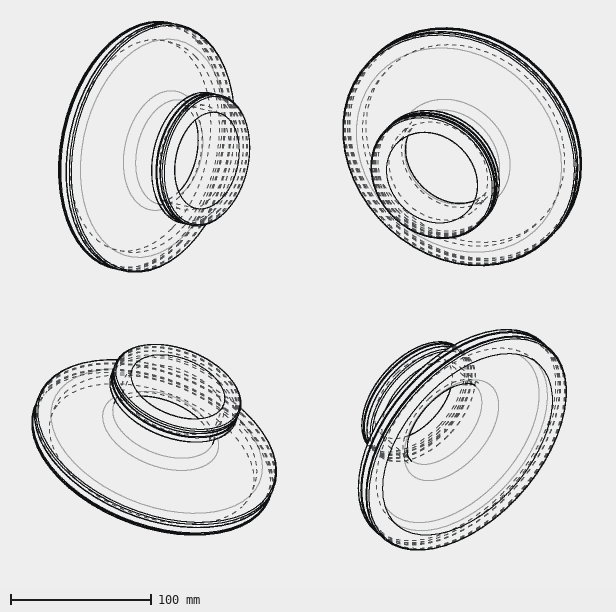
import cadquery as cq
import math

length = 63.0
flange_thickness = 12.0
large_radius = 180.0 / 2
small_radius = 95.0 / 2
rim_chamfer = 1.0

bore_radius = 70.0 / 2
tube_radius = 76.0 / 2
wall = tube_radius - bore_radius
cone_angle = math.radians(15)
cone_base_radius = 158.0 / 2
mouth_radius = 153.0 / 2
mouth_fillet = 5.0
throat_outer_fillet = 7.2
throat_inner_fillet = throat_outer_fillet + wall

groove_break = 0.5
groove_setback = 5.0
large_groove_x = groove_setback
large_groove_depth = 2.5
large_groove_radius = 2.5
small_groove_x = length - groove_setback
small_groove_depth = 1.8
small_groove_radius = 1.5


def revolve(profile):
    """Turn a profile drawn as (x, radius) about the X axis."""
    return profile.revolve(360, (0, 0, 0), (1, 0, 0))


def flange(start_x, radius):
    """Disc with both rim edges chamfered."""
    disc = cq.Workplane("YZ", origin=(start_x, 0, 0)).circle(radius).extrude(flange_thickness)
    return disc.edges().chamfer(rim_chamfer)


def groove(center_x, rim_radius, depth, radius):
    """Round-bottomed ring groove with bevelled lips."""
    bottom = rim_radius - depth
    lip = rim_radius - groove_break
    rise = min(lip - bottom, radius)
    half_width = math.sqrt(radius**2 - (radius - rise) ** 2)
    mouth = half_width + groove_break
    profile = (
        cq.Workplane("XY")
        .moveTo(center_x - mouth, rim_radius)
        .lineTo(center_x - half_width, lip)
        .threePointArc((center_x, bottom), (center_x + half_width, lip))
        .lineTo(center_x + mouth, rim_radius)
        .close()
    )
    return revolve(profile)


def cone_x(radius, base_x):
    """Axial position on a cone that has the base radius at base_x."""
    return base_x + (cone_base_radius - radius) * math.tan(cone_angle)


def ring_at(x):
    """Selector for the circular edges lying near the given x."""
    reach = large_radius
    half_band = wall / 2
    return cq.selectors.BoxSelector(
        (x - half_band, -reach, -reach), (x + half_band, reach, reach), boundingbox=True
    )


def neck():
    """Outer cone blending into the tube."""
    throat_x = cone_x(tube_radius, flange_thickness)
    start_x = flange_thickness / 2
    profile = cq.Workplane("XY").polyline([
        (start_x, 0),
        (start_x, cone_base_radius),
        (flange_thickness, cone_base_radius),
        (throat_x, tube_radius),
        (length, tube_radius),
        (length, 0),
    ]).close()
    return revolve(profile).edges(ring_at(throat_x)).fillet(throat_outer_fillet)


def cavity():
    """Mouth, inner cone parallel to the outer one, and the through bore."""
    inner_base_x = flange_thickness - wall / math.cos(cone_angle)
    mouth_x = cone_x(mouth_radius, inner_base_x)
    throat_x = cone_x(bore_radius, inner_base_x)
    profile = cq.Workplane("XY").polyline([
        (0, 0),
        (0, mouth_radius),
        (mouth_x, mouth_radius),
        (throat_x, bore_radius),
        (length, bore_radius),
        (length, 0),
    ]).close()
    body = revolve(profile)
    body = body.edges(ring_at(mouth_x)).fillet(mouth_fillet)
    return body.edges(ring_at(throat_x)).fillet(throat_inner_fillet)


small_flange_x = length - flange_thickness
result = flange(0, large_radius).union(neck()).union(flange(small_flange_x, small_radius))
result = result.cut(cavity())
result = result.cut(groove(large_groove_x, large_radius, large_groove_depth, large_groove_radius))
result = result.cut(groove(small_groove_x, small_radius, small_groove_depth, small_groove_radius))